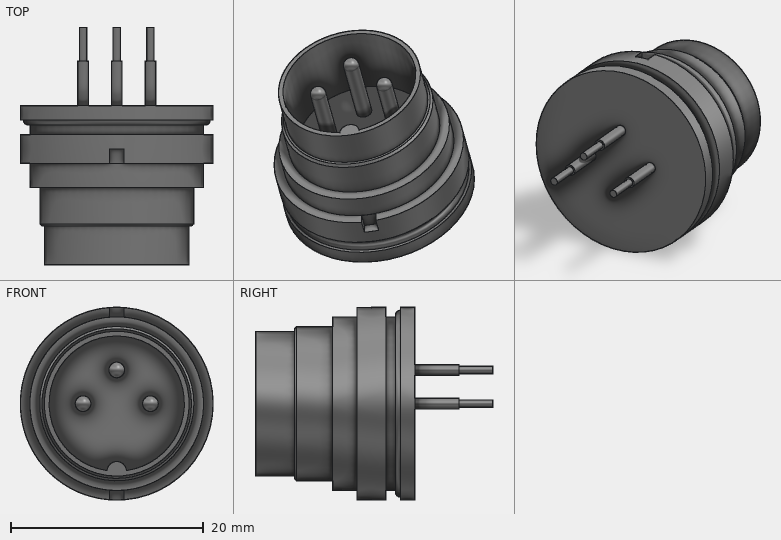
import cadquery as cq
import math

flange_radius = 20.0 / 2
seal_radius = 9.7
body_radius = 9.0
band_radius = 8.0
shell_radius = 7.5

shell_end = 4.0
band_end = 8.0
body_end = 10.5
collar_end = 13.5
groove_end = 14.5
seal_end = 15.0
flange_end = 16.5
sleeve_end = 21.1
wire_end = 24.6

band_chamfer = 0.25
seal_round = seal_end - groove_end

bore_radius = 7.0
bore_depth = band_end
key_radius = 1.0

notch_width = 1.5
notch_depth = 1.5

contact_offset = 3.5
contact_centres = [(-contact_offset, 0), (0, contact_offset), (contact_offset, 0)]
pin_radius = 0.8
pin_tip = 0.2
sleeve_radius = 0.57
wire_radius = 0.4


def rod(x, z, radius, start, end):
    """Cylinder parallel to Y between two stations."""
    return cq.Workplane("XZ", origin=(x, start, z)).circle(radius).extrude(start - end)


def housing():
    """Stepped round body, revolved from its half profile."""
    corner = seal_round * (1 - math.sqrt(0.5))
    profile = (
        cq.Workplane("XY")
        .lineTo(shell_radius, 0)
        .lineTo(shell_radius, shell_end)
        .lineTo(band_radius - band_chamfer, shell_end)
        .lineTo(band_radius, shell_end + band_chamfer)
        .lineTo(band_radius, band_end)
        .lineTo(body_radius, band_end)
        .lineTo(body_radius, body_end)
        .lineTo(flange_radius, body_end)
        .lineTo(flange_radius, collar_end)
        .lineTo(body_radius, collar_end)
        .lineTo(body_radius, groove_end)
        .lineTo(seal_radius - seal_round, groove_end)
        .threePointArc((seal_radius - corner, groove_end + corner), (seal_radius, seal_end))
        .lineTo(flange_radius, seal_end)
        .lineTo(flange_radius, flange_end)
        .lineTo(0, flange_end)
        .close()
    )
    return profile.revolve(360, (0, 0, 0), (0, 1, 0))


def socket():
    """Space to remove from the mating end, leaving the round key on the bore wall."""
    bore = rod(0, 0, bore_radius, 0, bore_depth)
    return bore.cut(rod(0, -bore_radius, key_radius, 0, bore_depth))


def collar_notch(side):
    """Notch in the front edge of the collar, above (side = 1) or below (side = -1)."""
    height = flange_radius - body_radius
    block = cq.Workplane("XY").box(notch_width, notch_depth, height)
    block = block.translate((0, body_end + notch_depth / 2, side * (body_radius + height / 2)))
    return block.cut(rod(0, 0, body_radius, body_end, body_end + notch_depth))


def contact(x, z):
    """Round-nosed pin in the socket, with a sleeve and wire at the back."""
    nose_centre = pin_tip + pin_radius
    pin = rod(x, z, pin_radius, nose_centre, flange_end)
    nose = cq.Workplane("XY").sphere(pin_radius).translate((x, nose_centre, z))
    sleeve = rod(x, z, sleeve_radius, bore_depth, sleeve_end)
    wire = rod(x, z, wire_radius, bore_depth, wire_end)
    return pin.union(nose).union(sleeve).union(wire)


result = housing().cut(socket())
for side in (1, -1):
    result = result.cut(collar_notch(side))
for x, z in contact_centres:
    result = result.union(contact(x, z))